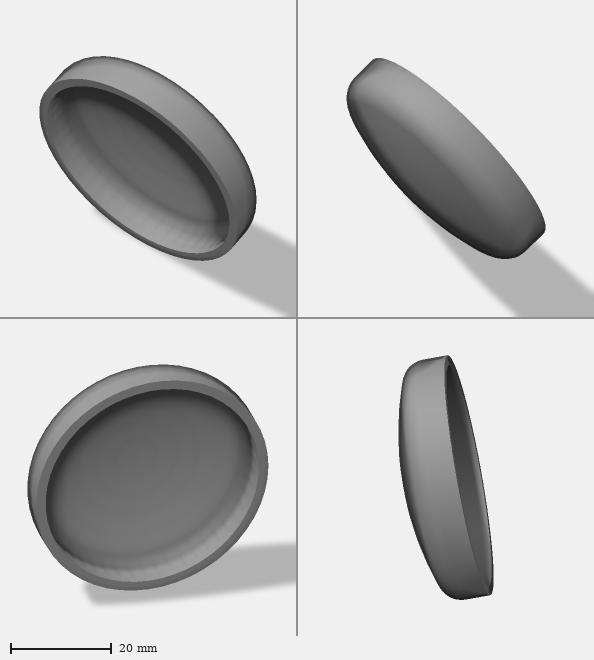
import cadquery as cq
import math

outer_radius = 24.15
total_height = 13.0
rim_height = 5.0
wall = 2.0
shoulder_radius = 4.5

shoulder_center_radius = outer_radius - shoulder_radius
rise = total_height - rim_height
dome_radius = (shoulder_center_radius**2 + rise**2 - shoulder_radius**2) / (2 * (rise - shoulder_radius))
dome_center_y = total_height - dome_radius
tangent_angle = math.asin(shoulder_center_radius / (dome_radius - shoulder_radius))


def arc_point(center_x, center_y, radius, angle):
    """Point on an arc, with the angle measured from the Y axis."""
    return center_x + radius * math.sin(angle), center_y + radius * math.cos(angle)


def domed_solid(inset):
    """Solid dome about the Y axis, with its surface inset from the outside of the cap."""
    shoulder = shoulder_radius - inset
    dome = dome_radius - inset
    shoulder_middle_angle = (tangent_angle + math.pi / 2) / 2
    return (
        cq.Workplane("XY")
        .lineTo(outer_radius - inset, 0)
        .lineTo(outer_radius - inset, rim_height)
        .threePointArc(
            arc_point(shoulder_center_radius, rim_height, shoulder, shoulder_middle_angle),
            arc_point(shoulder_center_radius, rim_height, shoulder, tangent_angle),
        )
        .threePointArc(
            arc_point(0, dome_center_y, dome, tangent_angle / 2),
            (0, total_height - inset),
        )
        .close()
        .revolve(360, (0, 0, 0), (0, 1, 0))
    )


result = domed_solid(0).cut(domed_solid(wall))